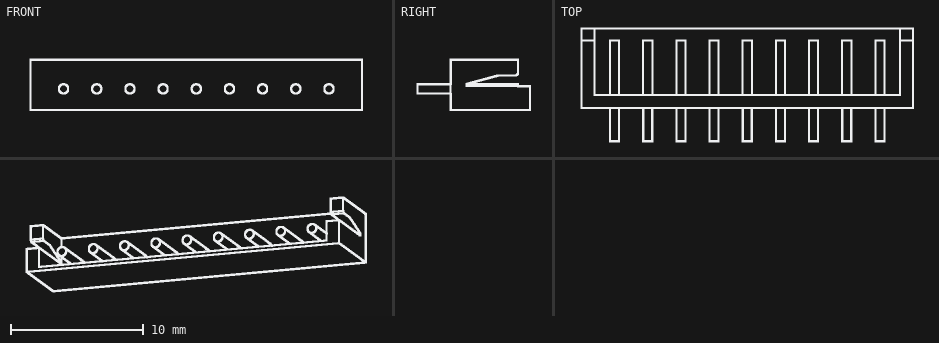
import cadquery as cq

length = 25.0
depth = 6.0
height = 3.8
wall = 1.0
floor_thickness = 0.3

upper_arm_depth = 5.1
slot_bottom = 1.8
slot_end = 1.2
slot_end_top = 1.95
slot_mouth_top = 2.6
slope_end = 3.6
tip_chamfer = 0.15

pin_count = 9
pin_pitch = 2.5
pin_diameter = 0.7
pin_height = 1.6
pin_projection = 2.5
pin_rear = upper_arm_depth


def make_end_wall(start_x):
    """End wall with a tapered slot and a shortened upper arm."""
    return (
        cq.Workplane("YZ", origin=(start_x, 0, 0))
        .moveTo(0, 0)
        .lineTo(depth, 0)
        .lineTo(depth, slot_bottom)
        .lineTo(slot_end, slot_bottom)
        .lineTo(slot_end, slot_end_top)
        .lineTo(slope_end, slot_mouth_top)
        .lineTo(upper_arm_depth - tip_chamfer, slot_mouth_top)
        .lineTo(upper_arm_depth, slot_mouth_top + tip_chamfer)
        .lineTo(upper_arm_depth, height)
        .lineTo(0, height)
        .close()
        .extrude(wall)
    )


def make_housing():
    """Floor, front wall and the two end walls."""
    centering = (True, False, False)
    floor = cq.Workplane("XY").box(length, depth, floor_thickness, centered=centering)
    front_wall = cq.Workplane("XY").box(length, wall, height, centered=centering)
    left_wall = make_end_wall(-length / 2)
    right_wall = make_end_wall(length / 2 - wall)
    return floor.union(front_wall).union(left_wall).union(right_wall)


def make_pins():
    """Row of round pins passing through the front wall."""
    first_x = -pin_pitch * (pin_count - 1) / 2
    centers = [(first_x + i * pin_pitch, pin_height) for i in range(pin_count)]
    return (
        cq.Workplane("XZ", origin=(0, -pin_projection, 0))
        .pushPoints(centers)
        .circle(pin_diameter / 2)
        .extrude(-(pin_projection + pin_rear))
    )


result = make_housing().union(make_pins())